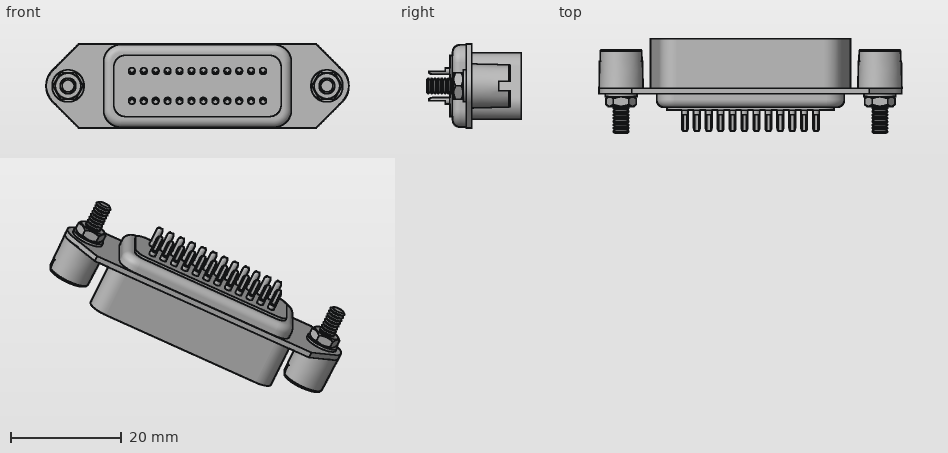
import cadquery as cq
import math


flange_length = 54.85
flange_height = 15.25
flange_thickness = 1.05
flange_end_radius = 4.0
screw_x = flange_length / 2 - flange_end_radius

overall_depth = 17.1
shell_height = 12.05
shell_mid_width = 34.85
shell_side_angle = 15.0
shell_corner_radius = 3.1

body_length = 34.0
body_height = 14.9
body_depth = 2.45
body_corner_radius = 3.1
body_edge_radius = 1.35
insert_length = 30.25
insert_height = 11.1
insert_depth = 0.5
insert_corner_radius = 2.1
insert_face = body_depth + insert_depth

pins_per_row = 12
pin_row_length = 23.75
pin_row_z = 2.7
pin_radius = 0.6
pin_shoulder_length = 0.8
pin_tip = 6.75
cup_bore_radius = 0.35
pin_dome_length = 0.7
pin_pitch = pin_row_length / (pins_per_row - 1)
cup_start = insert_face + pin_shoulder_length

washer_diameter = 5.8
washer_thickness = 0.5
nut_across_flats = 4.75
nut_thickness = 1.8
nut_face_diameter = 4.6
nut_chamfer_angle = 40.0
nut_face = washer_thickness + nut_thickness

screw_tip = 7.15
shank_diameter = 2.85
thread_root_diameter = 2.2
thread_count = 8
head_length = 6.95
head_base_diameter = 8.0
head_rim_diameter = 7.75
head_end_diameter = 7.4
head_chamfer_length = 0.35
slot_width = 1.75
slot_depth = 2.1

shell_length = overall_depth - screw_tip - flange_thickness
thread_pitch = (screw_tip - nut_face) / thread_count
head_end = flange_thickness + head_length


def plane_at(depth):
    """Workplane parallel to the flange, the given depth in front of it, extruding toward -Y."""
    return cq.Workplane("XZ").workplane(offset=depth)


def revolve_about_y(profile):
    """Turn a closed profile drawn in the XY plane about the Y axis."""
    return profile.close().revolve(360, (0, 0, 0), (0, 1, 0))


def make_flange():
    """Plate whose sides run at 45 degrees into a round end about each screw."""
    half_height = flange_height / 2
    tangent = flange_end_radius / math.sqrt(2)
    tangent_x = screw_x + tangent
    corner_x = tangent_x + tangent - half_height
    flange = (
        plane_at(-flange_thickness)
        .moveTo(-corner_x, half_height)
        .lineTo(corner_x, half_height)
        .lineTo(tangent_x, tangent)
        .threePointArc((flange_length / 2, 0), (tangent_x, -tangent))
        .lineTo(corner_x, -half_height)
        .lineTo(-corner_x, -half_height)
        .lineTo(-tangent_x, -tangent)
        .threePointArc((-flange_length / 2, 0), (-tangent_x, tangent))
        .close()
        .extrude(flange_thickness)
    )
    screw_holes = (
        plane_at(-flange_thickness)
        .pushPoints([(-screw_x, 0), (screw_x, 0)])
        .circle(shank_diameter / 2)
        .extrude(flange_thickness)
    )
    return flange.cut(screw_holes)


def make_shell():
    half_height = shell_height / 2
    side_shift = half_height * math.tan(math.radians(shell_side_angle))
    top_x = shell_mid_width / 2 - side_shift
    bottom_x = shell_mid_width / 2 + side_shift
    corners = [
        (-top_x, half_height),
        (top_x, half_height),
        (bottom_x, -half_height),
        (-bottom_x, -half_height),
    ]
    return (
        plane_at(-flange_thickness - shell_length)
        .polyline(corners)
        .close()
        .extrude(shell_length)
        .edges("|Y")
        .fillet(shell_corner_radius)
    )


def make_front_body():
    body = (
        plane_at(0)
        .rect(body_length, body_height)
        .extrude(body_depth)
        .edges("|Y")
        .fillet(body_corner_radius)
        .faces("<Y")
        .edges()
        .fillet(body_edge_radius)
    )
    insert = (
        plane_at(body_depth)
        .rect(insert_length, insert_height)
        .extrude(insert_depth)
        .edges("|Y")
        .fillet(insert_corner_radius)
    )
    return body.union(insert)


def make_pin():
    """Round pin for the upper row: rounded tip, bored, with the upper half of the cup cut away."""
    dome_start = pin_tip - pin_dome_length
    dome_drop = pin_radius - cup_bore_radius
    dome_arc_radius = (pin_dome_length**2 + dome_drop**2) / (2 * dome_drop)
    half_sweep = math.asin(pin_dome_length / dome_arc_radius) / 2
    dome_mid_radius = pin_radius - dome_arc_radius * (1 - math.cos(half_sweep))
    dome_mid_depth = dome_start + dome_arc_radius * math.sin(half_sweep)
    pin = revolve_about_y(
        cq.Workplane("XY")
        .moveTo(0, -body_depth)
        .lineTo(pin_radius, -body_depth)
        .lineTo(pin_radius, -dome_start)
        .threePointArc((dome_mid_radius, -dome_mid_depth), (cup_bore_radius, -pin_tip))
        .lineTo(0, -pin_tip)
    )
    cup_length = pin_tip - cup_start
    bore = plane_at(cup_start).circle(cup_bore_radius).extrude(cup_length)
    opening = (
        plane_at(cup_start)
        .center(0, pin_radius / 2)
        .rect(2 * pin_radius, pin_radius)
        .extrude(cup_length)
    )
    return pin.cut(bore).cut(opening)


def make_connector():
    """Flange, shell, front body and pins as one solid."""
    connector = make_flange().union(make_shell()).union(make_front_body())
    upper_pin = make_pin()
    lower_pin = upper_pin.mirror("XY")
    for index in range(pins_per_row):
        pin_x = index * pin_pitch - pin_row_length / 2
        connector = connector.union(upper_pin.translate((pin_x, 0, pin_row_z)))
        connector = connector.union(lower_pin.translate((pin_x, 0, -pin_row_z)))
    return connector


def make_washer():
    return plane_at(0).circle(washer_diameter / 2).circle(shank_diameter / 2).extrude(washer_thickness)


def make_nut():
    """Hexagonal nut with a corner on each side along X and corners chamfered at both faces."""
    corner_radius = nut_across_flats / math.sqrt(3)
    face_radius = nut_face_diameter / 2
    chamfer_length = (corner_radius - face_radius) * math.tan(math.radians(nut_chamfer_angle))
    hexagon = (
        plane_at(washer_thickness)
        .polygon(6, 2 * corner_radius)
        .circle(shank_diameter / 2)
        .extrude(nut_thickness)
    )
    chamfered_round = revolve_about_y(
        cq.Workplane("XY")
        .moveTo(0, -washer_thickness)
        .lineTo(face_radius, -washer_thickness)
        .lineTo(corner_radius, -washer_thickness - chamfer_length)
        .lineTo(corner_radius, -nut_face + chamfer_length)
        .lineTo(face_radius, -nut_face)
        .lineTo(0, -nut_face)
    )
    return hexagon.intersect(chamfered_round)


def make_screw():
    """Slotted, slightly tapered head behind the flange, plain shank and ring-shaped thread ridges."""
    root_radius = thread_root_diameter / 2
    crest_radius = shank_diameter / 2
    profile = (
        cq.Workplane("XY")
        .moveTo(0, head_end)
        .lineTo(head_end_diameter / 2, head_end)
        .lineTo(head_rim_diameter / 2, head_end - head_chamfer_length)
        .lineTo(head_base_diameter / 2, flange_thickness)
        .lineTo(crest_radius, flange_thickness)
        .lineTo(crest_radius, -nut_face)
        .lineTo(root_radius, -nut_face)
    )
    for index in range(thread_count):
        ridge_start = nut_face + index * thread_pitch
        profile = profile.lineTo(crest_radius, -ridge_start - thread_pitch / 2)
        profile = profile.lineTo(root_radius, -ridge_start - thread_pitch)
    screw = revolve_about_y(profile.lineTo(0, -screw_tip))
    slot = plane_at(-head_end).rect(head_base_diameter, slot_width).extrude(slot_depth)
    return screw.cut(slot)


connector = make_connector()
bodies = [connector.solids().val()]
for side in (-1, 1):
    for fastener in (make_screw(), make_washer(), make_nut()):
        bodies.append(fastener.translate((side * screw_x, 0, 0)).solids().val())

result = cq.Compound.makeCompound(bodies)